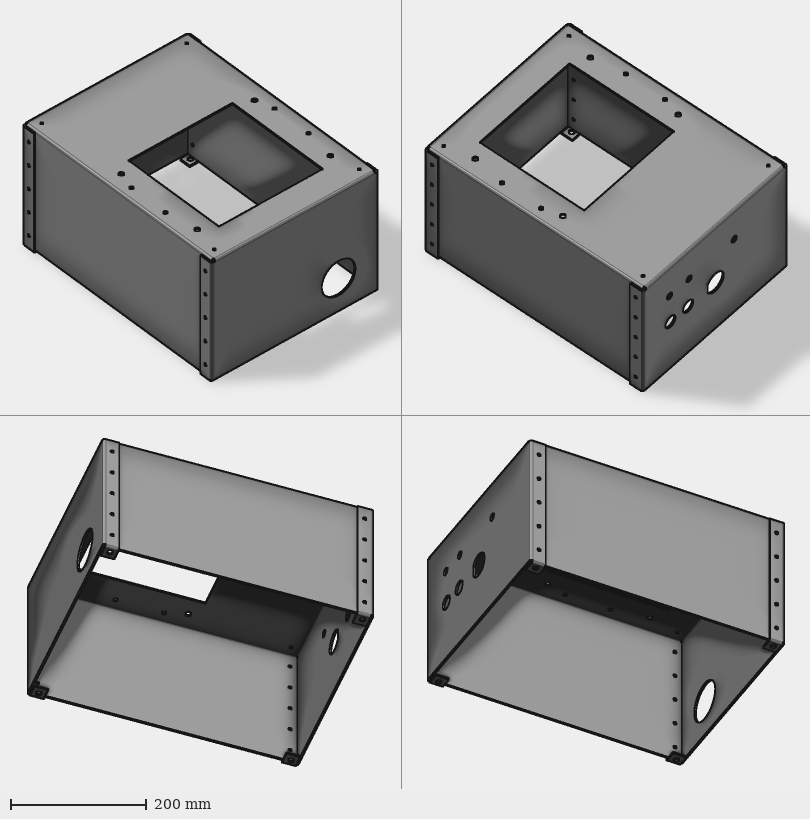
import cadquery as cq

LENGTH = 425.0
DEPTH = 326.5
HEIGHT = 232.5
SHEET = 3.2
BEND = 4.0
INNER_BEND = BEND - SHEET

TOP = HEIGHT / 2
BOTTOM = -TOP
SKIRT_BOTTOM = BOTTOM + BEND
FLANGE_TOP = TOP - BEND
WALL_DEPTH = DEPTH - 2 * SHEET

FLANGE_EDGE_X = 187.0
RIVET_X = 198.0
RIVET_PITCH = 44.5
RIVET_COUNT = 5
RIVET_DIAMETER = 5.0

FOOT_REACH = 21.5
FOOT_OUTER_X = LENGTH / 2 - BEND
FOOT_HOLE_Y = 152.5
FOOT_HOLE_DIAMETER = 9.0

WINDOW_SIZE = 203.0
WINDOW_X = 56.5
CORNER_HOLE_X = 194.0
CORNER_HOLE_Y = 141.5
CORNER_HOLE_DIAMETER = 4.5
MOUNT_X = 57.0
MOUNT_SPACING = 170.5
MOUNT_Y = 130.0
MOUNT_DIAMETER = 9.0
CLAMP_X = 43.8
CLAMP_SPACING = 76.0
CLAMP_Y = 140.0
CLAMP_DIAMETER = 7.0

LAMP_YS = (103.3, 59.0, -43.0)
LAMP_Z = 51.0
LAMP_DIAMETER = 12.0
CONNECTOR_Z = -9.0
GLAND_YS = (101.0, 61.0)
GLAND_DIAMETER = 23.0
SOCKET_DIAMETER = 38.5
SOCKET_FLAT_Y = 17.0

DUCT_Y = 85.0
DUCT_Z = -49.5
DUCT_DIAMETER = 66.0


def block(x_size, y_size, z_low, z_high):
    """Box centred on the Z axis between two heights."""
    return cq.Workplane("XY").workplane(offset=z_low).rect(x_size, y_size).extrude(z_high - z_low)


def tray():
    """Top plate and four walls, open at the bottom, with bent top edges."""
    outside = block(LENGTH, WALL_DEPTH, SKIRT_BOTTOM, TOP).faces(">Z").edges().fillet(BEND)
    inside = block(LENGTH - 2 * SHEET, WALL_DEPTH - 2 * SHEET, SKIRT_BOTTOM, TOP - SHEET)
    inside = inside.faces(">Z").edges().fillet(INNER_BEND)
    rounded = block(LENGTH, DEPTH, BOTTOM, TOP).edges("|Z").fillet(BEND)
    return outside.intersect(rounded).cut(inside)


def corner_reliefs():
    """Square notches where two top bends would meet at each corner."""
    return (
        cq.Workplane("XY", origin=(0, 0, FLANGE_TOP))
        .rect(LENGTH - BEND, WALL_DEPTH - BEND, forConstruction=True)
        .vertices()
        .rect(BEND, BEND)
        .extrude(BEND)
    )


def flanges():
    """Four flanges bent from the end walls over the long walls."""
    wrap = block(LENGTH, DEPTH, SKIRT_BOTTOM, FLANGE_TOP).edges("|Z").fillet(BEND)
    between = block(2 * FLANGE_EDGE_X, DEPTH, SKIRT_BOTTOM, FLANGE_TOP)
    inside = block(LENGTH - 2 * SHEET, WALL_DEPTH, SKIRT_BOTTOM, FLANGE_TOP)
    return wrap.cut(between).cut(inside)


def foot():
    """Foot of the +X +Y flange: a quarter bend and a flat inward tab with a hole."""
    outer_y = DEPTH / 2
    bend_y = outer_y - BEND
    tip_y = outer_y - FOOT_REACH
    profile = (
        cq.Workplane("YZ", origin=(FLANGE_EDGE_X, 0, 0))
        .moveTo(outer_y, SKIRT_BOTTOM)
        .radiusArc((bend_y, BOTTOM), BEND)
        .lineTo(tip_y, BOTTOM)
        .lineTo(tip_y, BOTTOM + SHEET)
        .lineTo(bend_y, BOTTOM + SHEET)
        .radiusArc((outer_y - SHEET, SKIRT_BOTTOM), -INNER_BEND)
        .close()
    )
    hole = (
        cq.Workplane("XY", origin=(RIVET_X, FOOT_HOLE_Y, BOTTOM))
        .circle(FOOT_HOLE_DIAMETER / 2)
        .extrude(SHEET)
    )
    return profile.extrude(FOOT_OUTER_X - FLANGE_EDGE_X).cut(hole)


def feet():
    """Feet under all four flanges."""
    pair = foot().union(foot().mirror("XZ"))
    return pair.union(pair.mirror("YZ"))


def top_holes(x_centre, x_spacing, y_spacing, diameter):
    """Four holes at the corners of a rectangle in the top plate."""
    return (
        cq.Workplane("XY", origin=(x_centre, 0, TOP - SHEET))
        .rect(x_spacing, y_spacing, forConstruction=True)
        .vertices()
        .circle(diameter / 2)
        .extrude(SHEET)
    )


def top_cutouts():
    """Window and mounting holes in the top plate."""
    window = (
        cq.Workplane("XY", origin=(WINDOW_X, 0, TOP - SHEET))
        .rect(WINDOW_SIZE, WINDOW_SIZE)
        .extrude(SHEET)
    )
    return (
        window.union(top_holes(0, 2 * CORNER_HOLE_X, 2 * CORNER_HOLE_Y, CORNER_HOLE_DIAMETER))
        .union(top_holes(MOUNT_X, MOUNT_SPACING, 2 * MOUNT_Y, MOUNT_DIAMETER))
        .union(top_holes(CLAMP_X, CLAMP_SPACING, 2 * CLAMP_Y, CLAMP_DIAMETER))
    )


def rivet_holes():
    """Columns of holes through both flanges and long walls at each end."""
    return (
        cq.Workplane("XZ", origin=(0, DEPTH / 2, 0))
        .rarray(2 * RIVET_X, RIVET_PITCH, 2, RIVET_COUNT)
        .circle(RIVET_DIAMETER / 2)
        .extrude(DEPTH)
    )


def end_wall_holes(wall_x, points, diameter):
    """Round holes through an end wall whose lower-X face is at wall_x."""
    return (
        cq.Workplane("YZ", origin=(wall_x, 0, 0))
        .pushPoints(points)
        .circle(diameter / 2)
        .extrude(SHEET)
    )


def connector_holes():
    """Lamp, gland and socket holes in the -X end wall."""
    wall_x = -LENGTH / 2
    lamps = end_wall_holes(wall_x, [(y, LAMP_Z) for y in LAMP_YS], LAMP_DIAMETER)
    glands = end_wall_holes(wall_x, [(y, CONNECTOR_Z) for y in GLAND_YS], GLAND_DIAMETER)
    socket = end_wall_holes(wall_x, [(0, CONNECTOR_Z)], SOCKET_DIAMETER)
    flat_side = (
        cq.Workplane("YZ", origin=(wall_x, SOCKET_FLAT_Y + SOCKET_DIAMETER / 2, CONNECTOR_Z))
        .rect(SOCKET_DIAMETER, SOCKET_DIAMETER)
        .extrude(SHEET)
    )
    return lamps.union(glands).union(socket.cut(flat_side))


duct_opening = end_wall_holes(LENGTH / 2 - SHEET, [(DUCT_Y, DUCT_Z)], DUCT_DIAMETER)

result = (
    tray()
    .cut(corner_reliefs())
    .union(flanges())
    .union(feet())
    .cut(top_cutouts())
    .cut(rivet_holes())
    .cut(connector_holes())
    .cut(duct_opening)
)